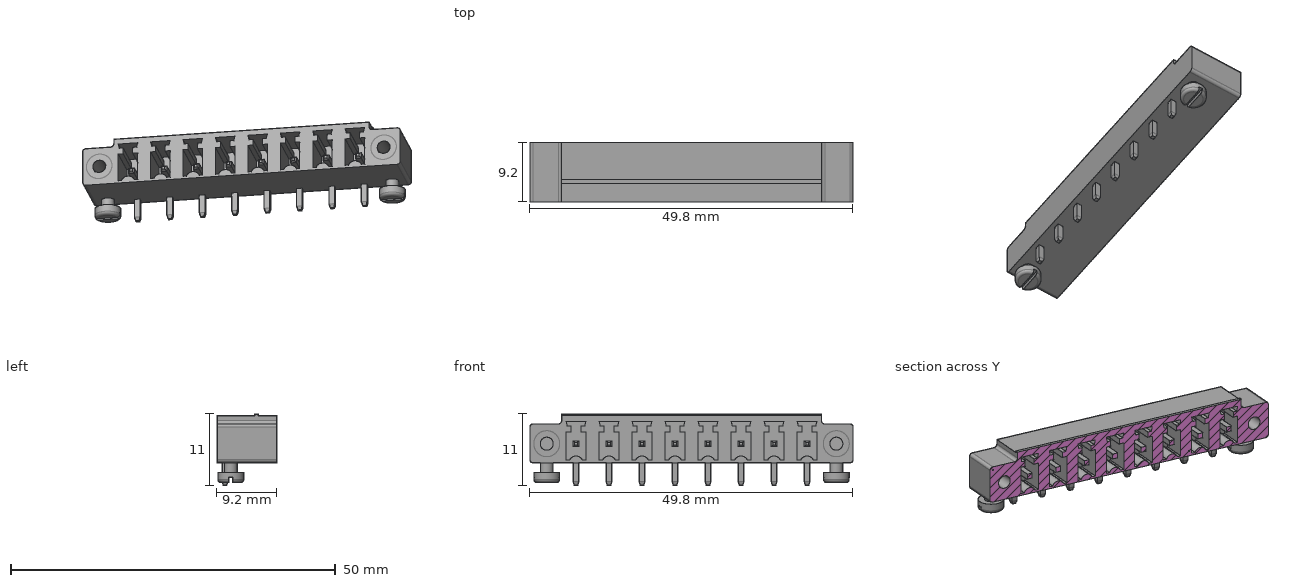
import cadquery as cq

length = 49.76
depth = 9.2
flange_height = 6.0
body_height = 7.25
body_length = 40.0
edge_radius = 0.5
front_y = -depth / 2
back_y = depth / 2

total_height = 10.95
rib_top = 7.5
rib_width = 0.6
rib_y = front_y + 3.15

contact_count = 8
pitch = 5.08
pocket_depth = 7.0
pocket_floor = 0.4
pocket_half_width = 1.52
shoulder_z = 4.75
neck_half_width = 0.75
keyway_z = 5.7
keyway_base_half_width = 1.35
pocket_top = 6.4
bump_half_width = 1.0
bump_height = 0.65

pin_width = 0.9
contact_z = 2.95
contact_tip_y = front_y + 2.5
contact_tip_width = 0.4
contact_taper = 0.4
tail_y = back_y - 1.2
tail_bottom = rib_top - total_height
tail_tip_width = 0.55
tail_taper = 0.55

mount_x = 22.28
bushing_diameter = 4.0
bushing_bore = 2.0
bushing_depth = 6.0
screw_y = back_y - 2.1
shank_diameter = 2.0
head_diameter = 4.0
head_top = -1.45
head_bottom = -3.05
head_radius = 0.5
slot_width = 0.6
slot_depth = 0.8


def box_between(x0, x1, y0, y1, z0, z1):
    """Box given by its limits along X, Y and Z."""
    return cq.Workplane("XY").box(x1 - x0, y1 - y0, z1 - z0, centered=False).translate((x0, y0, z0))


def extrude_from_front(outline, distance):
    """Extrude a closed XZ outline, lying on the front face, into the housing."""
    return outline.extrude(-distance)


def front_plane():
    """Sketch plane on the front face, with local axes along X and Z."""
    return cq.Workplane("XZ", origin=(0, front_y, 0))


def make_housing():
    """Flanged block with rounded ends, a raised body and the top rib."""
    half_length = length / 2
    half_body = body_length / 2
    outline = (
        front_plane()
        .moveTo(-half_length, 0)
        .lineTo(half_length, 0)
        .lineTo(half_length, flange_height)
        .lineTo(half_body, flange_height)
        .lineTo(half_body, body_height)
        .lineTo(-half_body, body_height)
        .lineTo(-half_body, flange_height)
        .lineTo(-half_length, flange_height)
        .close()
    )
    block = extrude_from_front(outline, depth)
    block = block.edges("|Y and (<X or >X)").fillet(edge_radius)
    for side in (-1, 1):
        step_corner = cq.selectors.NearestToPointSelector((side * half_body, 0, flange_height))
        block = block.edges(step_corner).fillet(edge_radius)
    rib = box_between(
        -half_body, half_body,
        rib_y - rib_width / 2, rib_y + rib_width / 2,
        flange_height, rib_top,
    )
    return block.union(rib)


def make_pocket():
    """Keyed contact cavity centred on X = 0, with an arched bump along its floor."""
    outline = (
        front_plane()
        .moveTo(-pocket_half_width, pocket_floor)
        .lineTo(-bump_half_width, pocket_floor)
        .threePointArc((0, pocket_floor + bump_height), (bump_half_width, pocket_floor))
        .lineTo(pocket_half_width, pocket_floor)
        .lineTo(pocket_half_width, shoulder_z)
        .lineTo(neck_half_width, shoulder_z)
        .lineTo(neck_half_width, keyway_z)
        .lineTo(keyway_base_half_width, keyway_z)
        .lineTo(pocket_half_width, pocket_top)
        .lineTo(-pocket_half_width, pocket_top)
        .lineTo(-keyway_base_half_width, keyway_z)
        .lineTo(-neck_half_width, keyway_z)
        .lineTo(-neck_half_width, shoulder_z)
        .lineTo(-pocket_half_width, shoulder_z)
        .close()
    )
    return extrude_from_front(outline, pocket_depth)


def square_taper(origin, direction, tip_width, taper_length):
    """Pin end that narrows along the given direction, starting at the given origin."""
    return (
        cq.Workplane(cq.Plane(origin, (1, 0, 0), direction))
        .rect(pin_width, pin_width)
        .workplane(offset=taper_length)
        .rect(tip_width, tip_width)
        .loft(ruled=True)
    )


def make_pin():
    """Right-angle pin centred on X = 0: contact toward -Y, solder tail toward -Z."""
    half = pin_width / 2
    taper_y = contact_tip_y + contact_taper
    taper_z = tail_bottom + tail_taper
    contact = box_between(-half, half, taper_y, tail_y + half, contact_z - half, contact_z + half)
    tail = box_between(-half, half, tail_y - half, tail_y + half, taper_z, contact_z + half)
    contact_tip = square_taper((0, taper_y, contact_z), (0, -1, 0), contact_tip_width, contact_taper)
    tail_tip = square_taper((0, tail_y, taper_z), (0, 0, -1), tail_tip_width, tail_taper)
    return contact.union(tail).union(contact_tip).union(tail_tip)


def make_screw(x):
    """Slotted screw whose shank is joined to the underside of the flange."""
    head = (
        cq.Workplane("XY", origin=(x, screw_y, head_bottom))
        .circle(head_diameter / 2)
        .extrude(head_top - head_bottom)
        .faces("<Z")
        .edges()
        .fillet(head_radius)
    )
    reach = head_diameter / 2
    slot = box_between(
        x - reach, x + reach,
        screw_y - slot_width / 2, screw_y + slot_width / 2,
        head_bottom, head_bottom + slot_depth,
    )
    shank = (
        cq.Workplane("XY", origin=(x, screw_y, head_top))
        .circle(shank_diameter / 2)
        .extrude(-head_top)
    )
    return head.cut(slot).union(shank)


def make_flange_cylinder(x, diameter):
    """Cylinder running back from the front face of a flange, level with the contacts."""
    outline = front_plane().center(x, contact_z).circle(diameter / 2)
    return extrude_from_front(outline, bushing_depth)


result = make_housing()

pocket = make_pocket()
pin = make_pin()
for index in range(contact_count):
    contact_x = (index - (contact_count - 1) / 2) * pitch
    result = result.cut(pocket.translate((contact_x, 0, 0)))
    result = result.union(pin.translate((contact_x, 0, 0)))

for flange_x in (-mount_x, mount_x):
    result = result.union(make_screw(flange_x))

for flange_x in (-mount_x, mount_x):
    seat = make_flange_cylinder(flange_x, bushing_diameter)
    bore = make_flange_cylinder(flange_x, bushing_bore)
    result = result.cut(seat, clean=False).union(seat.cut(bore), clean=False)

result = cq.Workplane(result.solids().val())